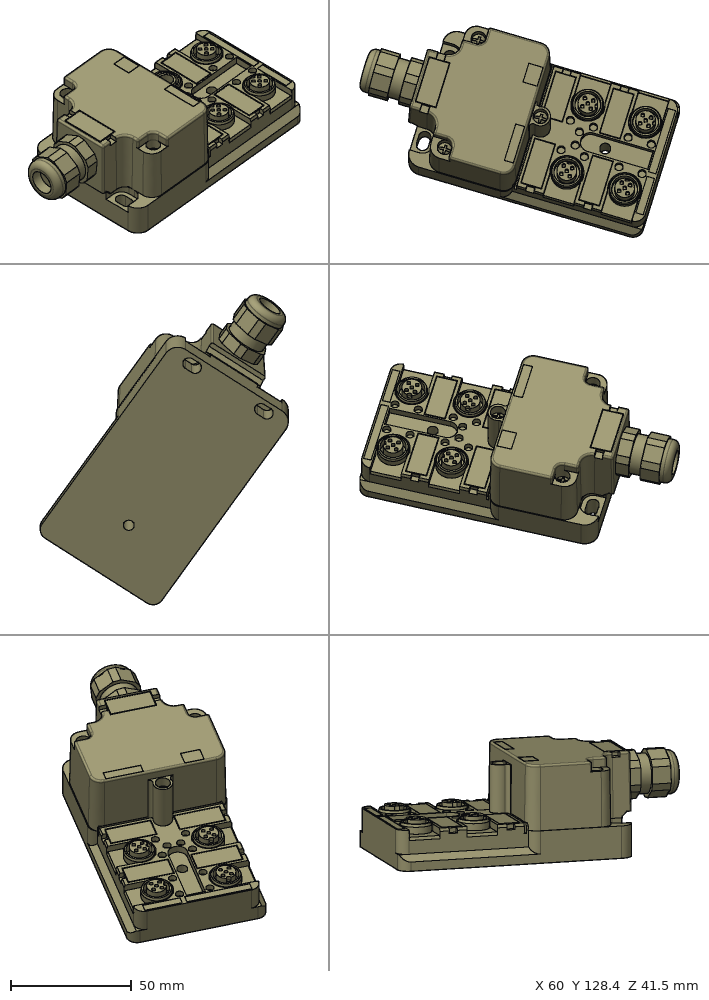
import cadquery as cq
import math


base_width = 60.0
base_length = 101.8
base_top = 13.7
front_corner_radius = 5.9
back_corner_radius = 4.5
head_length = 45.7
module_half_width = 27.1
module_top = 16.8
bevel_bottom = 4.0
bevel_top = 6.7
rim_drop = 1.3
rim_inset = 0.5

slot_x = 18.0
slot_y = 4.4
slot_straight = 3.1
slot_radius = 2.6
slot_recess_radius = 4.6
slot_recess_floor = 10.0

socket_x = 15.0
socket_rows = (65.5, 90.5)
socket_floor = base_top
socket_recess_length = 13.2
socket_clearance_radius = 7.0
ring_radius = 6.5
ring_inner_radius = 5.4
ring_top = 17.8
ring_bevel_height = 1.2
ring_bevel_inset = 0.4
insert_radius = 4.1
insert_top = 19.2
pin_hole_radius = 0.8
pin_hole_depth = 1.9
pin_circle_radius = 2.6
key_width = 2.0

well_radius = 1.7
well_depth = 2.6
well_x = 6.5
well_offset = 5.0
power_well_x = 3.0
groove_half_width = 4.1
groove_depth = 3.3
groove_end_y = 67.0
module_hole_y = 77.5
module_hole_diameter = 4.5
label_length = 19.9
label_width = 9.0
label_x = 14.9
label_below_socket = 12.5
label_gap = 0.15
label_gap_depth = 0.5
module_marks = ((-23.1, 5.0), (7.0, 23.2))
module_mark_front = 97.8
module_mark_back = 101.0
mark_depth = 0.1
notch_length = 3.5
module_notch_depth = 2.5

cover_top = 41.5
cover_half_width = 29.6
cover_back = 46.3
cover_back_radius = 5.4
cover_draft = 1.0
cover_edge_radius = 0.9
neck_edge_radius = 0.8
shoulder_y = 9.0
shoulder_radius = 5.5
neck_half_width = 13.6
neck_front = -3.7
neck_root_radius = 4.5
neck_underside = 16.3
neck_slope_foot_y = 0.4
neck_slope_foot_z = 14.4
neck_slope_end = -1.7
cover_label_y = 2.8
cover_notch_y = 3.0
cover_notch_depth = 2.0
cover_marks = ((-19.2, -10.9, 38.6), (7.0, 23.2, 41.0))
cover_mark_back = 44.8
seam_width = 0.9
seam_floor = 12.5

screw_seat = 37.2
screw_radius = 3.1
screw_sink = 5.8
screw_head_height = 2.8
screw_edge_height = 1.0
cross_length = 3.3
cross_width = 0.9
cross_depth = 1.0
corner_screw_x = 24.1
corner_screw_y = 15.4
pocket_radius = 3.1
pocket_end_radius = 0.8
boss_y = 49.5
boss_radius = 4.1
boss_root_radius = 1.5

gland_z = 29.1
gland_tip = -26.6
hex_radius = 10.3
hex_turn = 4.6
hex_corner_half_angle = 9.8
first_nut_end = -9.0
second_nut_start = -14.0
second_nut_end = -22.1
gland_neck_radius = 8.5
cap_radius = 9.2
cap_edge_radius = 2.8
bore_radius = 5.1
bore_depth = 4.6

overrun = 1.3
embed = 1.3


def block(x0, x1, y0, y1, z0, z1):
    """Axis-aligned box between two opposite corners."""
    return cq.Workplane("XY").box(x1 - x0, y1 - y0, z1 - z0, centered=False).translate((x0, y0, z0))


def post(x, y, radius, z0, z1):
    """Upright cylinder."""
    return cq.Workplane("XY", origin=(x, y, z0)).circle(radius).extrude(z1 - z0)


def upright_slot(x, y, straight, radius, z0, z1):
    """Upright obround whose straight part runs along X."""
    plane = cq.Workplane("XY", origin=(x, y, z0))
    return plane.slot2D(straight + 2 * radius, 2 * radius).extrude(z1 - z0)


def outer_lip(side, top, y0, y1):
    """Wedge that bevels the outer edge of a module surface at height top."""
    return (
        cq.Workplane("XZ", origin=(0, y1, 0))
        .moveTo(side * (module_half_width - rim_inset), top)
        .lineTo(side * module_half_width, top - rim_drop)
        .lineTo(side * module_half_width, top)
        .close()
        .extrude(y1 - y0)
    )


def make_base():
    """Full-width lower plate and head, with the narrower socket module standing on a side bevel."""
    half = base_width / 2
    lower = block(-half, half, 0, base_length, 0, bevel_top)
    lower = lower.edges("|Z and <Y").fillet(front_corner_radius)
    lower = lower.edges("|Z and >Y").fillet(back_corner_radius)
    for side in (-1, 1):
        bevel = (
            cq.Workplane("XZ")
            .moveTo(side * module_half_width, bevel_top)
            .lineTo(side * half, bevel_bottom)
            .lineTo(side * half, bevel_top)
            .close()
            .extrude(-base_length)
        )
        lower = lower.cut(bevel)

    head = block(-half, half, 0, head_length, 0, base_top)
    head = head.edges("|Z and <Y").fillet(front_corner_radius)
    head = head.edges("|Z and >Y").fillet(back_corner_radius)

    module_front = head_length - embed
    module = block(-module_half_width, module_half_width, module_front, base_length, bevel_bottom, module_top)
    module = module.edges("|Z and >Y").fillet(back_corner_radius)
    for side in (-1, 1):
        module = module.cut(outer_lip(side, module_top, 0, base_length - back_corner_radius))
    return lower.union(head).union(module)


def slot_cutters():
    """Mounting slots, each in a recess open to the front edge."""
    cutters = []
    for side in (-1, 1):
        x = side * slot_x
        half_recess = slot_straight / 2 + slot_recess_radius
        cutters.append(upright_slot(x, slot_y, slot_straight, slot_radius, 0, base_top))
        cutters.append(
            upright_slot(x, slot_y, slot_straight, slot_recess_radius, slot_recess_floor, base_top)
        )
        cutters.append(block(x - half_recess, x + half_recess, 0, slot_y, slot_recess_floor, base_top))
    return cutters


def socket_recess(side, y):
    """Pocket open to the outer side, rounded around the socket, with a bevelled outer lip."""
    half = socket_recess_length / 2
    x = side * socket_x
    outer = side * (module_half_width + overrun)
    pocket = block(min(x, outer), max(x, outer), y - half, y + half, socket_floor, module_top)
    pocket = pocket.union(post(x, y, socket_clearance_radius, socket_floor, module_top))
    return pocket.union(outer_lip(side, socket_floor, y - half, y + half))


def make_socket(side, y):
    """Round socket: outer ring and a central insert with five pin holes and a key notch."""
    x = side * socket_x
    root = socket_floor - embed
    ring = post(x, y, ring_radius, root, ring_top)
    ring = ring.faces(">Z").chamfer(ring_bevel_height, ring_bevel_inset)
    ring = ring.cut(post(x, y, ring_inner_radius, socket_floor, ring_top))
    insert = post(x, y, insert_radius, root, insert_top)
    pin_floor = insert_top - pin_hole_depth
    insert = insert.cut(post(x, y, pin_hole_radius, pin_floor, insert_top))
    for turn in (45, 135, 225, 315):
        px = x + pin_circle_radius * math.cos(math.radians(turn))
        py = y + pin_circle_radius * math.sin(math.radians(turn))
        insert = insert.cut(post(px, py, pin_hole_radius, pin_floor, insert_top))
    key_x, key_y = (x, y + insert_radius) if side < 0 else (x - insert_radius, y)
    insert = insert.cut(post(key_x, key_y, key_width / 2, pin_floor, insert_top))
    return ring.union(insert)


def label_groove(x, y, top):
    """Narrow gap around a flush label."""
    floor = cq.Workplane("XY", origin=(x, y, top - label_gap_depth))
    pocket = floor.rect(label_length, label_width).extrude(label_gap_depth)
    label = floor.rect(label_length - 2 * label_gap, label_width - 2 * label_gap).extrude(label_gap_depth)
    return pocket.cut(label)


def module_cutters():
    """Everything sunk into the socket module."""
    cutters = []
    for y in socket_rows:
        label_y = y - label_below_socket
        for side in (-1, 1):
            cutters.append(socket_recess(side, y))
            for offset in (-well_offset, well_offset):
                cutters.append(
                    post(side * well_x, y + offset, well_radius, module_top - well_depth, module_top)
                )
            cutters.append(label_groove(side * label_x, label_y, module_top))
            label_outer = label_x + label_length / 2
            ends = sorted((side * label_outer, side * (module_half_width + overrun)))
            cutters.append(
                block(*ends, label_y - notch_length / 2, label_y + notch_length / 2,
                      module_top - module_notch_depth, module_top)
            )
    for side in (-1, 1):
        cutters.append(
            post(side * power_well_x, socket_rows[0], well_radius, module_top - well_depth, module_top)
        )

    groove_floor = module_top - groove_depth
    groove_start = socket_rows[1] + socket_recess_length / 2
    round_y = groove_end_y + groove_half_width
    cutters.append(
        block(-groove_half_width, groove_half_width, round_y, groove_start, groove_floor, module_top)
    )
    cutters.append(post(0, round_y, groove_half_width, groove_floor, module_top))
    cutters.append(post(0, module_hole_y, module_hole_diameter / 2, 0, module_top))
    seam_end = cover_back + seam_width
    cutters.append(block(-module_half_width, module_half_width, cover_back, seam_end, seam_floor, module_top))
    for x0, x1 in module_marks:
        cutters.append(block(x0, x1, module_mark_front, module_mark_back, module_top - mark_depth, module_top))
    return cutters


def corner_pocket(side):
    """Rounded corner pocket that exposes a cover screw."""
    inner = side * (corner_screw_x - pocket_radius)
    outer = side * base_width / 2
    pocket = block(*sorted((inner, outer)), 0, corner_screw_y + pocket_radius, screw_seat, cover_top)
    inner_edge = "|Z and >Y and " + ("<X" if side > 0 else ">X")
    return pocket.edges(inner_edge).fillet(pocket_radius)


def round_pocket_ends(cover, side):
    """Round the two upright edges where a corner pocket runs out through the cover walls."""
    reach = 1.3
    pocket_back = corner_screw_y + pocket_radius
    pocket_inner = side * (corner_screw_x - pocket_radius)
    for x, y in ((side * cover_half_width, pocket_back), (pocket_inner, shoulder_y)):
        low = (x - reach, y - reach, screw_seat + reach)
        high = (x + reach, y + reach, cover_top - reach)
        near_edge = cq.selectors.BoxSelector(low, high)
        cover = cover.edges(near_edge).fillet(pocket_end_radius)
    return cover


def make_cover():
    """Drafted cover with a narrow neck towards the gland and rounded top edges."""
    root_x = neck_half_width + neck_root_radius
    root_y = shoulder_y - neck_root_radius
    diagonal = math.sqrt(0.5)
    shoulder_x = cover_half_width - shoulder_radius
    back_x = cover_half_width - cover_back_radius

    def on_arc(cx, cy, radius, side_x, side_y):
        return (cx + side_x * radius * diagonal, cy + side_y * radius * diagonal)

    outline = (
        cq.Workplane("XY", origin=(0, 0, base_top))
        .moveTo(-neck_half_width, neck_front)
        .lineTo(neck_half_width, neck_front)
        .lineTo(neck_half_width, root_y)
        .threePointArc(on_arc(root_x, root_y, neck_root_radius, -1, 1), (root_x, shoulder_y))
        .lineTo(shoulder_x, shoulder_y)
        .threePointArc(
            on_arc(shoulder_x, shoulder_y + shoulder_radius, shoulder_radius, 1, -1),
            (cover_half_width, shoulder_y + shoulder_radius),
        )
        .lineTo(cover_half_width, cover_back - cover_back_radius)
        .threePointArc(
            on_arc(back_x, cover_back - cover_back_radius, cover_back_radius, 1, 1), (back_x, cover_back)
        )
        .lineTo(-back_x, cover_back)
        .threePointArc(
            on_arc(-back_x, cover_back - cover_back_radius, cover_back_radius, -1, 1),
            (-cover_half_width, cover_back - cover_back_radius),
        )
        .lineTo(-cover_half_width, shoulder_y + shoulder_radius)
        .threePointArc(
            on_arc(-shoulder_x, shoulder_y + shoulder_radius, shoulder_radius, -1, -1),
            (-shoulder_x, shoulder_y),
        )
        .lineTo(-root_x, shoulder_y)
        .threePointArc(on_arc(-root_x, root_y, neck_root_radius, 1, 1), (-neck_half_width, root_y))
        .close()
    )
    cover = outline.extrude(cover_top - base_top, taper=cover_draft)
    cover = cover.faces("<Y").edges("not |X").fillet(neck_edge_radius)
    for side in (-1, 1):
        cover = cover.cut(corner_pocket(side))
        cover = round_pocket_ends(cover, side)
    return cover.faces(">Z").edges().fillet(cover_edge_radius)


def neck_underside_cutter():
    """Sloped clearance under the part of the neck that overhangs the base."""
    front = neck_front - overrun
    return (
        cq.Workplane("YZ", origin=(-neck_half_width - overrun, 0, 0))
        .polyline(
            [
                (front, base_top),
                (neck_slope_foot_y, base_top),
                (neck_slope_foot_y, neck_slope_foot_z),
                (neck_slope_end, neck_underside),
                (front, neck_underside),
            ]
        )
        .close()
        .extrude(2 * (neck_half_width + overrun))
    )


def cover_cutters():
    cutters = [neck_underside_cutter(), label_groove(0, cover_label_y, cover_top)]
    for side in (-1, 1):
        ends = sorted((side * label_length / 2, side * (neck_half_width + overrun)))
        cutters.append(
            block(*ends, cover_notch_y - notch_length / 2, cover_notch_y + notch_length / 2,
                  cover_top - cover_notch_depth, cover_top)
        )
    for x0, x1, y0 in cover_marks:
        cutters.append(block(x0, x1, y0, cover_mark_back, cover_top - mark_depth, cover_top))
    return cutters


def make_boss():
    """Round screw boss against the back wall of the cover, with roots flared tangent to the wall."""
    root_y = cover_back + boss_root_radius
    reach = boss_radius + boss_root_radius
    rise = boss_y - root_y
    root_x = math.sqrt(reach**2 - rise**2)
    share = boss_radius / reach
    touch_x = root_x * share
    touch_y = boss_y - rise * share
    lean = (math.pi / 2 - math.asin(rise / reach)) / 2
    mid_x = root_x - boss_root_radius * math.cos(lean)
    mid_y = root_y - boss_root_radius * math.sin(lean)
    return (
        cq.Workplane("XY", origin=(0, 0, seam_floor))
        .moveTo(-root_x, cover_back)
        .threePointArc((-mid_x, mid_y), (-touch_x, touch_y))
        .threePointArc((0, boss_y + boss_radius), (touch_x, touch_y))
        .threePointArc((mid_x, mid_y), (root_x, cover_back))
        .lineTo(root_x, cover_back - embed)
        .lineTo(-root_x, cover_back - embed)
        .close()
        .extrude(screw_seat - seam_floor)
    )


def screw_well(x, y):
    return post(x, y, screw_radius, screw_seat - screw_sink, screw_seat)


def screw_head(x, y):
    """Domed screw head with a cross recess."""
    bottom = screw_seat - screw_sink
    top = bottom + screw_head_height
    dome_edge = bottom + screw_edge_height
    rise = top - dome_edge
    sphere_radius = (screw_radius**2 + rise**2) / (2 * rise)
    dome = cq.Workplane("XY", origin=(x, y, top - sphere_radius)).sphere(sphere_radius)
    head = post(x, y, screw_radius, bottom, top).intersect(dome)
    for size_x, size_y in ((cross_length, cross_width), (cross_width, 2 * screw_radius)):
        slot = cq.Workplane("XY", origin=(x, y, top - cross_depth)).rect(size_x, size_y).extrude(cross_depth)
        head = head.cut(slot)
    return head


def nut(y_start, y_end):
    """Hexagon with flattened corners, along -Y."""
    points = []
    for corner in range(6):
        for half_angle in (-hex_corner_half_angle, hex_corner_half_angle):
            angle = math.radians(90 - hex_turn - 60 * corner - half_angle)
            points.append((hex_radius * math.cos(angle), hex_radius * math.sin(angle)))
    plane = cq.Workplane("XZ", origin=(0, y_start, gland_z))
    return plane.polyline(points).close().extrude(y_start - y_end)


def gland_cylinder(radius, y_start, y_end):
    """Cylinder on the gland axis, along -Y."""
    return cq.Workplane("XZ", origin=(0, y_start, gland_z)).circle(radius).extrude(y_start - y_end)


def make_gland():
    """Two nuts on a round neck, closed by a rounded cap with a blind bore."""
    root = neck_front + embed
    cap = gland_cylinder(cap_radius, second_nut_end, gland_tip).faces("<Y").edges().fillet(cap_edge_radius)
    gland = nut(root, first_nut_end)
    gland = gland.union(gland_cylinder(gland_neck_radius, first_nut_end, second_nut_start))
    gland = gland.union(nut(second_nut_start, second_nut_end)).union(cap)
    bore = gland_cylinder(bore_radius, gland_tip + bore_depth, gland_tip)
    return gland.cut(bore)


def cut_all(body, cutters):
    for cutter in cutters:
        body = body.cut(cutter)
    return body


body = cut_all(make_base(), slot_cutters() + module_cutters())
for row_y in socket_rows:
    for row_side in (-1, 1):
        body = body.union(make_socket(row_side, row_y))

cover = cut_all(make_cover(), cover_cutters())
body = body.union(cover).union(make_boss())

screw_places = ((-corner_screw_x, corner_screw_y), (corner_screw_x, corner_screw_y), (0, boss_y))
for screw_x, screw_y in screw_places:
    body = body.cut(screw_well(screw_x, screw_y)).union(screw_head(screw_x, screw_y))

result = body.union(make_gland())